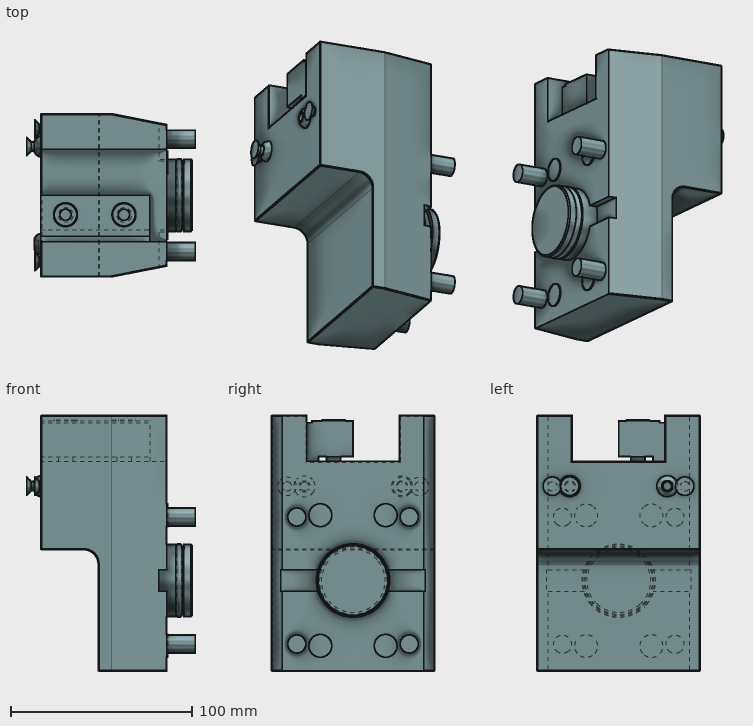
import cadquery as cq

BODY_DEPTH = 69.5
BODY_WIDTH = 90.0
BODY_HEIGHT = 141.0
BODY_BOTTOM = -50.0
BODY_TOP = BODY_BOTTOM + BODY_HEIGHT
FRONT_X = -BODY_DEPTH
HALF_WIDTH = BODY_WIDTH / 2
STEP_DEPTH = 31.7
OVERHANG_HEIGHT = 74.0
STEP_Z = BODY_TOP - OVERHANG_HEIGHT
STEP_RADIUS = 8.0
TAPER_LENGTH = 30.5
TAPER_INSET = 6.0
EDGE_CHAMFER = 0.5

SLOT_WIDTH = 51.0
SLOT_DEPTH = 25.2
SLOT_FLOOR = BODY_TOP - SLOT_DEPTH

KEY_WIDTH = 12.0
KEY_DEPTH = 4.3

CLAMP_LENGTH = 60.0
CLAMP_WIDTH = SLOT_WIDTH / 2
CLAMP_WALL_Y = -SLOT_WIDTH / 2
CLAMP_DROP = 3.0
CLAMP_TOP = BODY_TOP - CLAMP_DROP
CLAMP_GAP = 2.5
CLAMP_FOOT_WIDTH = 6.5
CLAMP_LEDGE_WIDTH = 2.8
CLAMP_LEDGE_DROP = 1.0

CLAMP_SCREW_SETBACKS = (13.7, 45.9)
CLAMP_SCREW_Y = -10.7
CLAMP_HEAD_RADIUS = 6.6
CLAMP_HEAD_RISE = 0.5
CLAMP_HEAD_CHAMFER = 0.4
CLAMP_SHANK_RADIUS = 4.0
CLAMP_SOCKET_RADIUS = 3.1
CLAMP_SOCKET_DEPTH = CLAMP_HEAD_RISE

FRONT_SCREW_DROP = 39.0
FRONT_SCREW_Z = BODY_TOP - FRONT_SCREW_DROP
DOME_Y = 26.9
DOME_BASE_RADIUS = 5.8
DOME_TIP_RADIUS = 3.1
DOME_HEIGHT = 3.4
DOME_MID_RADIUS = 5.0
DOME_MID_HEIGHT = 2.0
DOME_SOCKET_RADIUS = 2.4
DOME_SOCKET_DEPTH = 2.0
FLARE_RADIUS = 5.1
LONG_FLARE_REACH = 7.75
FLARE_NECK = 2.6
SIDE_FLARE_Y = 36.5
SIDE_FLARE_REACH = 3.2

SPIGOT_RADIUS = 20.0
SPIGOT_LENGTH = 14.0
SPIGOT_CHAMFER = 0.8
GROOVE_START = 5.1
GROOVE_END = 9.4
GROOVE_RADIUS = 17.5
RING_SECTION_RADIUS = 1.7
RING_OUTER_RADIUS = 20.25

PIN_RADIUS = 5.0
PIN_LENGTH = 15.8
PIN_Y = 31.0
PIN_Z = 35.0
COLLAR_RADIUS = 6.3
COLLAR_HEIGHT = 0.6
COLLAR_Y = 18.0
COLLAR_Z = 36.0


def box(x_min, x_max, y_min, y_max, z_min, z_max):
    size = (x_max - x_min, y_max - y_min, z_max - z_min)
    return cq.Workplane("XY").box(*size, centered=False).translate((x_min, y_min, z_min))


def rod(x_start, x_end, radius, y, z):
    """Cylinder along X."""
    return cq.Workplane("YZ", origin=(x_start, y, z)).circle(radius).extrude(x_end - x_start)


def make_body():
    side_profile = (
        cq.Workplane("XZ")
        .moveTo(0, BODY_BOTTOM)
        .lineTo(0, BODY_TOP)
        .lineTo(FRONT_X, BODY_TOP)
        .lineTo(FRONT_X, STEP_Z)
        .lineTo(FRONT_X + STEP_DEPTH - STEP_RADIUS, STEP_Z)
        .radiusArc((FRONT_X + STEP_DEPTH, STEP_Z - STEP_RADIUS), STEP_RADIUS)
        .lineTo(FRONT_X + STEP_DEPTH, BODY_BOTTOM)
        .close()
        .extrude(HALF_WIDTH, both=True)
    )
    back_half_width = HALF_WIDTH - TAPER_INSET
    plan = (
        cq.Workplane("XY", origin=(0, 0, BODY_BOTTOM))
        .polyline([
            (FRONT_X, -HALF_WIDTH),
            (-TAPER_LENGTH, -HALF_WIDTH),
            (0, -back_half_width),
            (0, back_half_width),
            (-TAPER_LENGTH, HALF_WIDTH),
            (FRONT_X, HALF_WIDTH),
        ])
        .close()
        .extrude(BODY_HEIGHT)
    )
    slot = box(FRONT_X, 0, -SLOT_WIDTH / 2, SLOT_WIDTH / 2, SLOT_FLOOR, BODY_TOP)
    body = side_profile.intersect(plan).cut(slot)

    front_edges = body.faces("<X").edges().vals()
    lower_front_edge = body.faces("<Z").edges("<X").vals()
    side_edges = body.faces("<Y or >Y").edges("not (|Z and >X)").vals()
    taper_edges = body.edges("not(|X or |Y or |Z)").edges(">Z or <Z").vals()
    chamfered = front_edges + lower_front_edge + side_edges + taper_edges
    body = body.newObject(chamfered).chamfer(EDGE_CHAMFER)

    key_slot = box(-KEY_DEPTH, 0, -HALF_WIDTH, HALF_WIDTH, -KEY_WIDTH / 2, KEY_WIDTH / 2)
    return body.cut(key_slot)


def make_clamp():
    back_x = FRONT_X + CLAMP_LENGTH
    inner_y = CLAMP_WALL_Y + CLAMP_WIDTH
    underside = SLOT_FLOOR + CLAMP_GAP
    ledge_y = CLAMP_WALL_Y + CLAMP_LEDGE_WIDTH
    clamp = box(FRONT_X, back_x, CLAMP_WALL_Y, inner_y, underside, CLAMP_TOP)
    foot = box(FRONT_X, back_x, CLAMP_WALL_Y, CLAMP_WALL_Y + CLAMP_FOOT_WIDTH, SLOT_FLOOR, underside)
    ledge = box(FRONT_X, back_x, CLAMP_WALL_Y, ledge_y, CLAMP_TOP - CLAMP_LEDGE_DROP, CLAMP_TOP)
    clamp = clamp.union(foot).cut(ledge)

    places = [(FRONT_X + setback, CLAMP_SCREW_Y) for setback in CLAMP_SCREW_SETBACKS]
    shanks = (
        cq.Workplane("XY", origin=(0, 0, SLOT_FLOOR))
        .pushPoints(places)
        .circle(CLAMP_SHANK_RADIUS)
        .extrude(CLAMP_GAP)
    )
    heads = (
        cq.Workplane("XY", origin=(0, 0, CLAMP_TOP))
        .pushPoints(places)
        .circle(CLAMP_HEAD_RADIUS)
        .extrude(CLAMP_HEAD_RISE)
        .faces(">Z")
        .chamfer(CLAMP_HEAD_CHAMFER)
    )
    sockets = (
        cq.Workplane("XY", origin=(0, 0, CLAMP_TOP + CLAMP_HEAD_RISE))
        .pushPoints(places)
        .circle(CLAMP_SOCKET_RADIUS)
        .extrude(-CLAMP_SOCKET_DEPTH)
    )
    return clamp.union(shanks).union(heads).cut(sockets)


def make_dome(y):
    """Button head on the front face, its flank an arc from base to flat tip."""
    dome = (
        cq.Workplane("XY")
        .moveTo(FRONT_X, 0)
        .lineTo(FRONT_X, DOME_BASE_RADIUS)
        .threePointArc(
            (FRONT_X - DOME_MID_HEIGHT, DOME_MID_RADIUS),
            (FRONT_X - DOME_HEIGHT, DOME_TIP_RADIUS),
        )
        .lineTo(FRONT_X - DOME_HEIGHT, 0)
        .close()
        .revolve(360, (0, 0, 0), (1, 0, 0))
    )
    return dome.translate((0, y, FRONT_SCREW_Z))


def make_flare(y, reach):
    """Countersunk head on a neck, widest at its outer end."""
    neck_end = reach - (FLARE_RADIUS - FLARE_NECK)
    flare = (
        cq.Workplane("XY")
        .polyline([
            (FRONT_X, 0),
            (FRONT_X, FLARE_NECK),
            (FRONT_X - neck_end, FLARE_NECK),
            (FRONT_X - reach, FLARE_RADIUS),
            (FRONT_X - reach, 0),
        ])
        .close()
        .revolve(360, (0, 0, 0), (1, 0, 0))
    )
    return flare.translate((0, y, FRONT_SCREW_Z))


def make_front_screws():
    tip_x = FRONT_X - DOME_HEIGHT
    socket = rod(tip_x, tip_x + DOME_SOCKET_DEPTH, DOME_SOCKET_RADIUS, -DOME_Y, FRONT_SCREW_Z)
    plain_dome = make_dome(-DOME_Y).cut(socket)
    screws = plain_dome.union(make_dome(DOME_Y))
    screws = screws.union(make_flare(DOME_Y, LONG_FLARE_REACH))
    for side in (-1, 1):
        screws = screws.union(make_flare(side * SIDE_FLARE_Y, SIDE_FLARE_REACH))
    return screws


def make_spigot():
    """Grooved spigot with its sealing ring, rooted at the key slot floor."""
    spigot = rod(-KEY_DEPTH, SPIGOT_LENGTH, SPIGOT_RADIUS, 0, 0).faces(">X").chamfer(SPIGOT_CHAMFER)
    groove = rod(GROOVE_START, GROOVE_END, SPIGOT_RADIUS, 0, 0)
    groove = groove.cut(rod(GROOVE_START, GROOVE_END, GROOVE_RADIUS, 0, 0))
    ring = (
        cq.Workplane("XY")
        .moveTo(GROOVE_START + RING_SECTION_RADIUS, RING_OUTER_RADIUS - RING_SECTION_RADIUS)
        .circle(RING_SECTION_RADIUS)
        .revolve(360, (0, 0, 0), (1, 0, 0))
    )
    return spigot.cut(groove).union(ring)


def mounting_rods():
    """Pins and collars, one of each per corner of the mounting face."""
    rods = []
    for y_side in (-1, 1):
        for z_side in (-1, 1):
            rods.append(rod(0, PIN_LENGTH, PIN_RADIUS, y_side * PIN_Y, z_side * PIN_Z))
            rods.append(rod(0, COLLAR_HEIGHT, COLLAR_RADIUS, y_side * COLLAR_Y, z_side * COLLAR_Z))
    return rods


result = make_body().union(make_clamp()).union(make_front_screws()).union(make_spigot())
for mounting_rod in mounting_rods():
    result = result.union(mounting_rod)